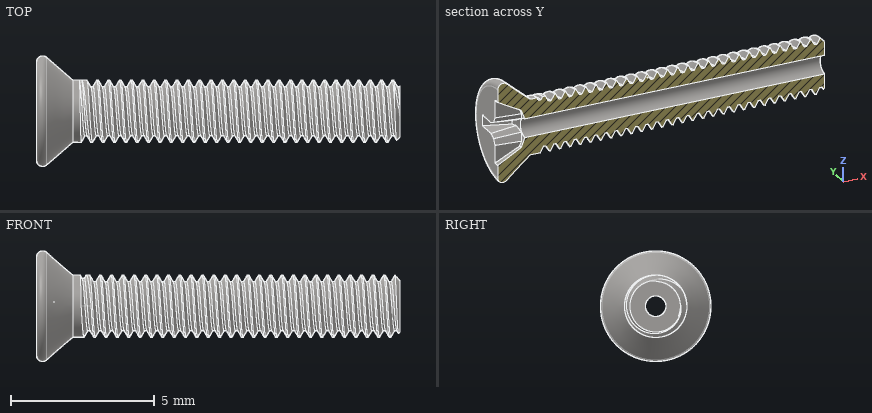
import cadquery as cq
import math


length = 12.7
head_radius = 1.937
rim_radius = 0.22
cone_half_angle = math.radians(41)

shank_radius = 1.09
pitch = length / 32
thread_depth = 0.23
root_flat = 0.083
flank_angle = math.radians(30)
runout_start = 1.54
runout_length = pitch / 2
cut_clearance = 0.03
tip_chamfer = 0.19

recess_depth = 1.05
arm_end_depth = 0.91
arm_end_reach = 0.71
mouth_reach = 1.22
mouth_width, bottom_width = 0.42, 0.2
mouth_hub_offset, bottom_hub_offset = 0.32, 0.27
facet_reach = 0.53
bore_radius = 0.35


def revolve_about_x(outline):
    return outline.close().revolve(360, (0, 0, 0), (1, 0, 0))


def make_head():
    """Revolve the countersunk head with its rounded rim."""
    rim_center_x = rim_radius
    rim_center_r = head_radius - rim_radius
    cone_start_x = rim_center_x + rim_radius * math.sin(cone_half_angle)
    cone_start_r = rim_center_r + rim_radius * math.cos(cone_half_angle)
    cone_end_x = cone_start_x + (cone_start_r - shank_radius) / math.tan(cone_half_angle)
    return revolve_about_x(
        cq.Workplane("XY")
        .lineTo(0, rim_center_r)
        .threePointArc((rim_center_x, head_radius), (cone_start_x, cone_start_r))
        .lineTo(cone_end_x, shank_radius)
        .lineTo(cone_end_x, 0)
    )


CYLINDER = 360.0


def helical_groove(start_depth, end_depth, groove_length):
    """Trapezoidal groove wound around Z, its root centred on Z = 0 at the start."""
    taper = math.atan((start_depth - end_depth) / groove_length)
    slant = 1 / math.cos(taper)
    cone_angle = math.degrees(taper) if taper else CYLINDER
    root_radius = shank_radius - start_depth
    height = thread_depth + cut_clearance
    half_root = root_flat / 2
    half_mouth = half_root + height * math.tan(flank_angle)
    corners = [
        (root_radius, -half_root),
        (root_radius, half_root),
        (root_radius + height, half_mouth),
        (root_radius + height, -half_mouth),
    ]
    helices = [
        cq.Wire.makeHelix(pitch * slant, groove_length * slant, radius, (0, 0, z), angle=cone_angle)
        for radius, z in corners
    ]
    faces = [cq.Face.makeRuledSurface(helices[i - 1], helices[i]) for i in range(4)]
    for end in (0, 1):
        points = [helix.positionAt(end) for helix in helices]
        faces.append(cq.Face.makeFromWires(cq.Wire.makePolygon(points, close=True)))
    return cq.Solid.makeSolid(cq.Shell.makeShell(faces))


def place_groove(groove, start_x, start_angle):
    """Turn a groove from the Z axis to the X axis."""
    return (
        cq.Workplane(groove)
        .rotate((0, 0, 0), (0, 0, 1), start_angle)
        .rotate((0, 0, 0), (0, 1, 0), 90)
        .translate((start_x, 0, 0))
    )


def make_shank():
    """Cut the thread, its run-out and the tip chamfer into a plain rod."""
    thread_start = runout_start + runout_length
    thread_length = length + pitch - thread_start
    thread = helical_groove(thread_depth, thread_depth, thread_length)
    runout = helical_groove(0, thread_depth, runout_length)
    overshoot = 0.13
    tip_ring = revolve_about_x(
        cq.Workplane("XY")
        .moveTo(length + overshoot, shank_radius - tip_chamfer - overshoot)
        .lineTo(length - tip_chamfer - overshoot, shank_radius + overshoot)
        .lineTo(length + overshoot, shank_radius + overshoot)
    )
    return (
        cq.Workplane("YZ")
        .circle(shank_radius)
        .extrude(length)
        .cut(place_groove(thread, thread_start, 270))
        .cut(place_groove(runout, runout_start, 90))
        .cut(tip_ring)
    )


def cross_wire(x, arm_reach, arm_width, hub_offset):
    """Cross outline in the plane at X = x; two facets replace each inner corner."""
    half = arm_width / 2
    quarter = [
        (arm_reach, -half),
        (arm_reach, half),
        (facet_reach, half),
        (hub_offset, hub_offset),
        (half, facet_reach),
    ]
    points = []
    for cos_turn, sin_turn in [(1, 0), (0, 1), (-1, 0), (0, -1)]:
        points += [(u * cos_turn - v * sin_turn, u * sin_turn + v * cos_turn) for u, v in quarter]
    return cq.Wire.makePolygon([(x, u, v) for u, v in points], close=True)


def make_recess():
    """Tapered cross socket with a conical floor that slopes down to the bore."""
    arm_taper = (mouth_reach - arm_end_reach) / arm_end_depth
    bottom_reach = mouth_reach - arm_taper * recess_depth
    mouth = cross_wire(0, mouth_reach, mouth_width, mouth_hub_offset)
    bottom = cross_wire(recess_depth, bottom_reach, bottom_width, bottom_hub_offset)
    socket = cq.Workplane(cq.Solid.makeLoft([mouth, bottom], True))

    floor_slope = (recess_depth - arm_end_depth) / (arm_end_reach - bore_radius)
    floor_rim_depth = arm_end_depth - floor_slope * (head_radius - arm_end_reach)
    floor_envelope = revolve_about_x(
        cq.Workplane("XY")
        .lineTo(0, head_radius)
        .lineTo(floor_rim_depth, head_radius)
        .lineTo(recess_depth, bore_radius)
        .lineTo(recess_depth, 0)
    )
    return socket.intersect(floor_envelope)


bore = cq.Workplane("YZ").circle(bore_radius).extrude(length)
result = make_shank().union(make_head()).cut(make_recess()).cut(bore)